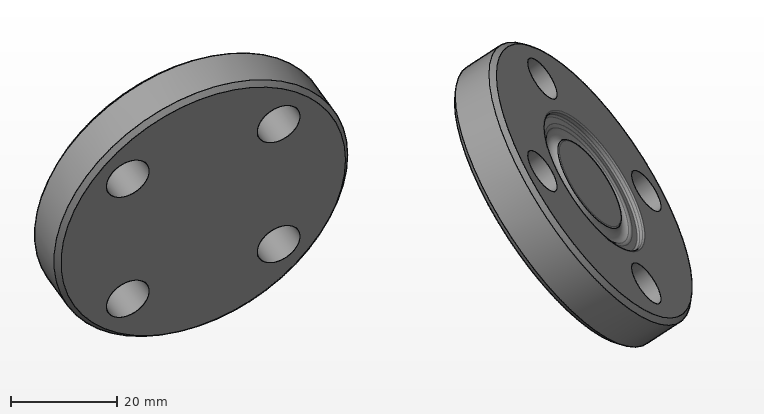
import cadquery as cq
import math

disc_diameter = 62.0
thickness = 10.0
rim_chamfer = 1.0

hole_count = 4
hole_diameter = 9.0
hole_circle_diameter = 45.0
first_hole_angle = 45.0

recess_diameter = 30.4
recess_depth = 1.35
mouth_radius = 0.3
floor_radius = 0.4

groove_outer_radius = 13.4
groove_lip_radius = 1.05
groove_inner_radius = 9.4
groove_inner_lip_radius = 0.45
groove_depth = 0.9
centre_depth = 1.0


def make_disc():
    disc = cq.Workplane("YZ").circle(disc_diameter / 2).extrude(thickness)
    return disc.edges().chamfer(rim_chamfer)


def make_recess():
    """Half section in the XY plane, revolved about X; x is depth below the face."""
    wall = recess_diameter / 2
    diagonal = math.sqrt(0.5)
    mouth_mid = mouth_radius * (1 - diagonal)
    floor_mid = floor_radius * (1 - diagonal)
    groove_bottom = recess_depth + groove_depth
    lip_angle = math.radians(45)
    lip_run = math.sin(lip_angle)
    lip_drop = 1 - math.cos(lip_angle)
    half_lip_run = math.sin(lip_angle / 2)
    half_lip_drop = 1 - math.cos(lip_angle / 2)

    outer_lip_mid = (
        recess_depth + groove_lip_radius * half_lip_drop,
        groove_outer_radius - groove_lip_radius * half_lip_run,
    )
    outer_lip_end = (
        recess_depth + groove_lip_radius * lip_drop,
        groove_outer_radius - groove_lip_radius * lip_run,
    )
    inner_lip_mid = (
        centre_depth + groove_inner_lip_radius * half_lip_drop,
        groove_inner_radius + groove_inner_lip_radius * half_lip_run,
    )
    inner_lip_end = (
        centre_depth + groove_inner_lip_radius * lip_drop,
        groove_inner_radius + groove_inner_lip_radius * lip_run,
    )
    groove_mid = (outer_lip_end[1] + inner_lip_end[1]) / 2
    profile = (
        cq.Workplane("XY")
        .moveTo(0, 0)
        .lineTo(0, wall + mouth_radius)
        .threePointArc((mouth_mid, wall + mouth_mid), (mouth_radius, wall))
        .lineTo(recess_depth - floor_radius, wall)
        .threePointArc((recess_depth - floor_mid, wall - floor_mid), (recess_depth, wall - floor_radius))
        .lineTo(recess_depth, groove_outer_radius)
        .threePointArc(outer_lip_mid, outer_lip_end)
        .threePointArc((groove_bottom, groove_mid), inner_lip_end)
        .threePointArc(inner_lip_mid, (centre_depth, groove_inner_radius))
        .lineTo(centre_depth, 0)
        .close()
    )
    return profile.revolve(360, (0, 0, 0), (1, 0, 0))


def make_holes():
    return (
        cq.Workplane("YZ")
        .polarArray(hole_circle_diameter / 2, first_hole_angle, 360, hole_count)
        .circle(hole_diameter / 2)
        .extrude(thickness)
    )


result = make_disc().cut(make_recess()).cut(make_holes())